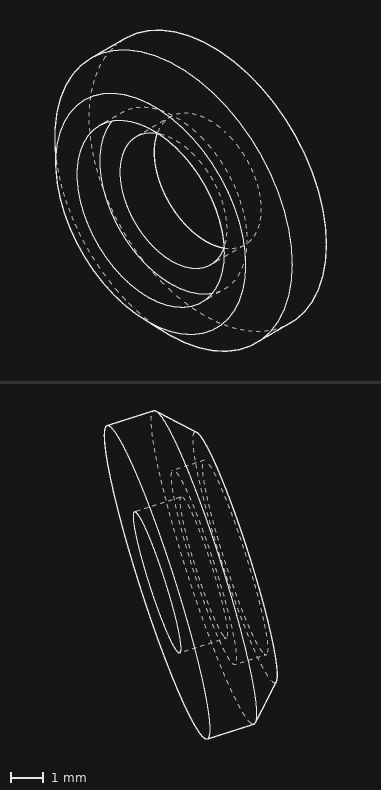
import cadquery as cq

outer_diameter = 10.0
thickness = 2.5
bevel = 1.0
bore_diameter = 4.5
counterbore_diameter = 6.2
counterbore_depth = 1.0


def cylinder_along_y(diameter, length):
    """Cylinder on the Y axis, from the front plane y = 0 toward +Y."""
    return cq.Workplane("XZ").circle(diameter / 2).extrude(-length)


disc = cylinder_along_y(outer_diameter, thickness).faces("<Y").edges().chamfer(bevel)

bore = cylinder_along_y(bore_diameter, thickness)
counterbore = cylinder_along_y(counterbore_diameter, counterbore_depth)

result = disc.cut(bore).cut(counterbore)